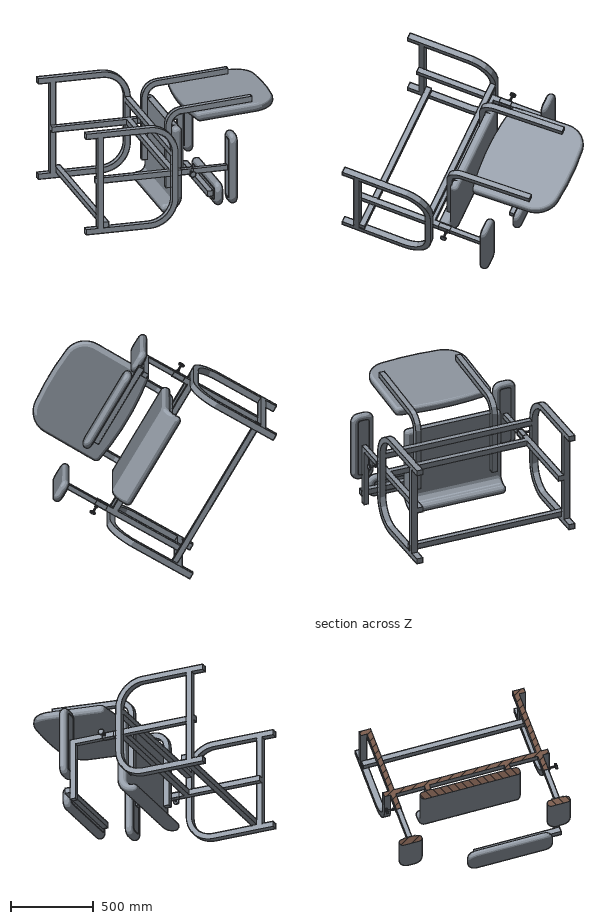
import cadquery as cq
import math


TUBE = 35.0
WIDE_TUBE = 40.0

FRAME_WIDTH = 1049.0
FRAME_HEIGHT = 650.0
FRAME_DEPTH = 580.0
LOOP_RADIUS = 180.0
LEG_OVERHANG = 75.0
UPPER_BAR_TOP = 150.0
LOWER_BAR_END = 520.0
SOCKET_LENGTH = 109.0

RAIL_CENTER_X = 253.0
RAIL_BOTTOM = -172.0
RAIL_TILT = 4.0
RAIL_CORNER_Z = 324.0
RAIL_RADIUS = 105.0
RAIL_REACH = 544.0

CUSHION_WIDTH = 635.0
CUSHION_THICKNESS = 57.0
SEAT_TOP = 221.0
SEAT_LIP_BOTTOM = -320.0
SEAT_LIP_THICKNESS = 53.0
SEAT_LIP_END_Y = -39.0
SEAT_LIP_OUTER_RADIUS = 103.0
SEAT_LIP_INNER_RADIUS = 44.0
SEAT_ROUND = 26.0
BACK_START = 157.0
BACK_END = 706.0
BACK_BOW = 28.0
BACK_CORNER_RADIUS = 145.0
BACK_SMALL_CORNER = 28.0
BACK_ROUND = 27.0
BACK_RAIL_SIDE_ROUND = 18.0

ARM_WIDTH = 30.0
SOCKET_WALL = 1.0
ARM_END_Y = 324.0
ARM_INNER_Y = TUBE
POST_BOTTOM = -380.0
PAD_WIDTH = 145.0
PAD_CENTER_X = 470.0
PAD_LENGTH = 450.0
PAD_THICKNESS = 48.0
PAD_ROUND = 23.0
PAD_CORNER = 53.0
BOARD_THICKNESS = 4.0
BOARD_INSET = 36.0
CROSS_BAR_Z = -319.0
CROSS_BAR_LENGTH = 548.0
CROSS_PAD_LENGTH = 539.0
CROSS_PAD_X = -150.0

KNOB_Y = 91.0
KNOB_LENGTH = 58.0
KNOB_HEAD_DIAMETER = 35.0
KNOB_HEAD_THICKNESS = 9.0
KNOB_SHAFT_DIAMETER = 9.0
KNOB_COLLAR_DIAMETER = 17.0
KNOB_COLLAR_THICKNESS = 4.5
KNOB_COLLAR_GAP = 10.0

FRAME_SIDE = FRAME_WIDTH / 2
LOOP_INNER_X = FRAME_SIDE - WIDE_TUBE
FRAME_TOP = FRAME_HEIGHT / 2
LEG_FRONT_Y = -FRAME_DEPTH + LEG_OVERHANG
LEG_BACK_Y = LEG_FRONT_Y + TUBE
SIDE_TUBE_INNER_X = LOOP_INNER_X - TUBE
ARM_OUTER_X = LOOP_INNER_X - SOCKET_WALL
ARM_INNER_X = ARM_OUTER_X - ARM_WIDTH
ARM_HEIGHT = TUBE - 2 * SOCKET_WALL
TILT = math.radians(RAIL_TILT)


def block(x0, x1, y0, y1, z0, z1):
    return cq.Workplane("XY").box(x1 - x0, y1 - y0, z1 - z0, centered=False).translate((x0, y0, z0))


def mirrored(body):
    return body.mirror("YZ")



def side_loop():
    """U-shaped tube with rounded corners, open toward -Y, and its upright leg."""
    def u_shape(back_y, half_height, radius):
        return (
            block(LOOP_INNER_X, FRAME_SIDE, -FRAME_DEPTH, back_y, -half_height, half_height)
            .edges("|X and >Y").fillet(radius)
        )

    outer = u_shape(0, FRAME_TOP, LOOP_RADIUS)
    inner = u_shape(-TUBE, FRAME_TOP - TUBE, LOOP_RADIUS - TUBE)
    leg = block(LOOP_INNER_X, FRAME_SIDE, LEG_FRONT_Y, LEG_BACK_Y, TUBE - FRAME_TOP, FRAME_TOP - TUBE)
    return outer.cut(inner).union(leg)


def side_tube():
    """Tube along Y whose open end is a socket for an armrest tube."""
    tube = block(SIDE_TUBE_INNER_X, LOOP_INNER_X, LEG_FRONT_Y, SOCKET_LENGTH, -TUBE / 2, TUBE / 2)
    socket = block(ARM_INNER_X, ARM_OUTER_X, ARM_INNER_Y, SOCKET_LENGTH, -ARM_HEIGHT / 2, ARM_HEIGHT / 2)
    return tube.cut(socket)


def cross_bars():
    upper = block(-LOOP_INNER_X, LOOP_INNER_X, -TUBE, 0, UPPER_BAR_TOP - TUBE, UPPER_BAR_TOP)
    middle = block(-SIDE_TUBE_INNER_X, SIDE_TUBE_INNER_X, -TUBE, 0, -TUBE / 2, TUBE / 2)
    lower_bottom = TUBE - FRAME_TOP
    lower = block(
        -LOWER_BAR_END, LOWER_BAR_END, LEG_BACK_Y, LEG_BACK_Y + TUBE, lower_bottom, lower_bottom + TUBE
    )
    return [upper, middle, lower]


def backrest_rail():
    """Upright tube that bends over into a slightly rising run along the back cushion."""
    def offset_corner(inset):
        z = RAIL_CORNER_Z + inset * math.tan(TILT) - inset / math.cos(TILT)
        return (inset, z)

    def corner_edge(corner):
        return cq.NearestToPointSelector((RAIL_CENTER_X, *corner))

    outer_corner = offset_corner(0)
    inner_corner = offset_corner(TUBE)
    end_y = RAIL_REACH * math.cos(TILT)
    outer_end = (end_y, outer_corner[1] + RAIL_REACH * math.sin(TILT))
    inner_end = (end_y, outer_end[1] - TUBE / math.cos(TILT))
    return (
        cq.Workplane("YZ", origin=(RAIL_CENTER_X - TUBE / 2, 0, 0))
        .polyline([(0, RAIL_BOTTOM), outer_corner, outer_end, inner_end, inner_corner, (TUBE, RAIL_BOTTOM)])
        .close().extrude(TUBE)
        .edges(corner_edge(outer_corner)).fillet(RAIL_RADIUS)
        .edges(corner_edge(inner_corner)).fillet(RAIL_RADIUS - TUBE)
    )


def make_frame():
    frame = side_loop()
    for part in (side_tube(), backrest_rail()):
        frame = frame.union(part)
    frame = frame.union(mirrored(frame))
    for bar in cross_bars():
        frame = frame.union(bar)
    return frame



def make_seat():
    """Cushion on the upright rails, with a lip that curls toward -Y at its lower end."""
    back_y = TUBE
    face_y = back_y + CUSHION_THICKNESS
    lip_top = SEAT_LIP_BOTTOM + SEAT_LIP_THICKNESS
    outer_start_z = SEAT_LIP_BOTTOM + SEAT_LIP_OUTER_RADIUS
    inner_start_z = lip_top + SEAT_LIP_INNER_RADIUS
    cushion = (
        cq.Workplane("YZ", origin=(-CUSHION_WIDTH / 2, 0, 0))
        .moveTo(back_y, SEAT_TOP)
        .lineTo(face_y, SEAT_TOP)
        .lineTo(face_y, outer_start_z)
        .radiusArc((face_y - SEAT_LIP_OUTER_RADIUS, SEAT_LIP_BOTTOM), SEAT_LIP_OUTER_RADIUS)
        .lineTo(SEAT_LIP_END_Y, SEAT_LIP_BOTTOM)
        .lineTo(SEAT_LIP_END_Y, lip_top)
        .lineTo(back_y - SEAT_LIP_INNER_RADIUS, lip_top)
        .radiusArc((back_y, inner_start_z), -SEAT_LIP_INNER_RADIUS)
        .close().extrude(CUSHION_WIDTH)
        .faces("<X or >X or >Z or <Y").edges().fillet(SEAT_ROUND)
    )
    backing = block(
        -RAIL_CENTER_X, RAIL_CENTER_X, back_y, back_y + CUSHION_THICKNESS / 2, inner_start_z, SEAT_TOP
    )
    return cushion.union(backing)


def make_back():
    """Cushion under the tilted rails, bowed at both ends with large corners at the far end."""
    half_width = CUSHION_WIDTH / 2
    rail_under_z = RAIL_CORNER_Z - TUBE / math.cos(TILT)
    rail_plane = cq.Plane(
        origin=(0, 0, rail_under_z), xDir=(1, 0, 0), normal=(0, -math.sin(TILT), math.cos(TILT))
    )
    thickness_edges = cq.selectors.ParallelDirSelector(rail_plane.zDir)
    rail_side = cq.selectors.DirectionMinMaxSelector(rail_plane.zDir, True)
    far_side = cq.selectors.DirectionMinMaxSelector(rail_plane.zDir, False)
    return (
        cq.Workplane(rail_plane)
        .moveTo(-half_width, BACK_START + BACK_BOW)
        .threePointArc((0, BACK_START), (half_width, BACK_START + BACK_BOW))
        .lineTo(half_width, BACK_END - BACK_BOW)
        .threePointArc((0, BACK_END), (-half_width, BACK_END - BACK_BOW))
        .close().extrude(-CUSHION_THICKNESS)
        .edges(thickness_edges).edges(">Y").fillet(BACK_CORNER_RADIUS)
        .edges(thickness_edges).edges("<Y").fillet(BACK_SMALL_CORNER)
        .faces(rail_side).edges().fillet(BACK_RAIL_SIDE_ROUND)
        .faces(far_side).edges().fillet(BACK_ROUND)
    )



def pad(center_x, center_z, size_x, size_z, mount_y):
    """Padded plate facing +Y with a thin mounting board on its -Y face."""
    def rounded_plate(inset, start_y, thickness):
        return (
            cq.Workplane("XY")
            .box(size_x - 2 * inset, thickness, size_z - 2 * inset)
            .edges("|Y").fillet(PAD_CORNER - inset)
            .translate((center_x, start_y + thickness / 2, center_z))
        )

    board = rounded_plate(BOARD_INSET, mount_y, BOARD_THICKNESS)
    cushion = rounded_plate(0, mount_y + BOARD_THICKNESS, PAD_THICKNESS)
    return cushion.faces("<Y or >Y").edges().fillet(PAD_ROUND).union(board)


def make_plain_arm():
    """Armrest on the +X side: a straight tube that carries an upright pad."""
    tube = block(ARM_INNER_X, ARM_OUTER_X, ARM_INNER_Y, ARM_END_Y, -ARM_HEIGHT / 2, ARM_HEIGHT / 2)
    return tube.union(pad(PAD_CENTER_X, 0, PAD_WIDTH, PAD_LENGTH, ARM_END_Y))


def make_arm_with_cross_pad():
    """Armrest on the -X side, with a post and a bar that holds a pad across the chair."""
    post = block(-ARM_OUTER_X, -ARM_INNER_X, ARM_END_Y - TUBE, ARM_END_Y, POST_BOTTOM, ARM_HEIGHT / 2)
    bar = block(
        -LOOP_INNER_X, -LOOP_INNER_X + CROSS_BAR_LENGTH, ARM_END_Y, ARM_END_Y + TUBE,
        CROSS_BAR_Z - TUBE / 2, CROSS_BAR_Z + TUBE / 2,
    )
    cross_pad = pad(CROSS_PAD_X, CROSS_BAR_Z, CROSS_PAD_LENGTH, PAD_WIDTH, ARM_END_Y + TUBE)
    return mirrored(make_plain_arm()).union(post).union(bar).union(cross_pad)



def make_knob(side):
    """Knob on the side of the chair given by the sign of X, whose shaft ends against the side tube."""
    def disc(start, thickness, diameter):
        return (
            cq.Workplane("YZ", origin=(side * (LOOP_INNER_X + start), KNOB_Y, 0))
            .circle(diameter / 2).extrude(side * thickness)
        )

    shaft = disc(0, KNOB_LENGTH, KNOB_SHAFT_DIAMETER)
    collar = disc(KNOB_COLLAR_GAP, KNOB_COLLAR_THICKNESS, KNOB_COLLAR_DIAMETER)
    head = disc(KNOB_LENGTH - KNOB_HEAD_THICKNESS, KNOB_HEAD_THICKNESS, KNOB_HEAD_DIAMETER)
    return shaft.union(collar).union(head)


frame = make_frame()
seat = make_seat()
back = make_back()
arm_with_cross_pad = make_arm_with_cross_pad()
plain_arm = make_plain_arm()
knobs = [make_knob(side) for side in (-1, 1)]

result = cq.Compound.makeCompound(
    [
        frame.val(),
        seat.val(),
        back.val(),
        arm_with_cross_pad.val(),
        plain_arm.val(),
        *[knob.val() for knob in knobs],
    ]
)